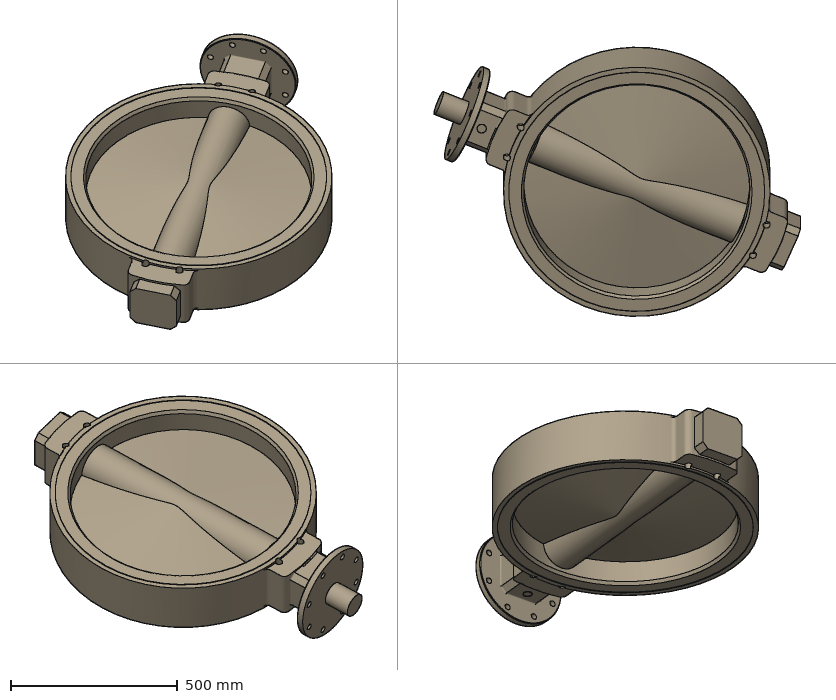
import cadquery as cq
import math


ring_radius = 400.0
ring_half_height = 85.0

lug_half_width = 95.0
lug_half_height = 78.0
lug_end_radius = 464.0
lug_corner_radius = 20.0
lug_root_radius = 15.0

lug_hole_radius = 10.0
lug_hole_x = 53.0
lug_hole_y = 401.0
lug_hole_depth = 46.0
drill_tip_angle = 118.0

neck_half_width = 72.0
neck_half_height = 71.0
neck_corner = 18.0
neck_fillet = 3.0

flange_diameter = 300.0
flange_radius = flange_diameter / 2
flange_top_y = 563.0
flange_thickness = 22.0
flange_bottom_y = flange_top_y - flange_thickness
flange_edge_chamfer = 2.0
flange_bolt_circle_radius = 126.0
flange_hole_radius = 9.0
flange_hole_count = 8

pad_radius = 14.0
pad_y = 505.0
pad_projection = 2.0

seat_outer_radius = 383.0
seat_bore_radius = 339.0
seat_half_height = 83.0
seat_lead_in_width = 7.0
seat_lead_in_depth = 10.0

disc_radius = seat_bore_radius
disc_edge_half_thickness = 3.0
disc_apex_height = 61.0
hub_diameter = 130.0
hub_radius = hub_diameter / 2
hub_half_length = 332.0

overall_length = 1148.0
shaft_radius = 37.0
shaft_top_y = 645.0
shaft_bottom_y = -459.0
cover_bottom_y = shaft_top_y - overall_length


def cylinder_along_y(radius, y_start, y_end):
    return cq.Workplane("XZ", origin=(0, y_start, 0)).circle(radius).extrude(y_start - y_end)


def cylinder_along_z(radius, half_height):
    return cq.Workplane("XY").circle(radius).extrude(half_height, both=True)


def revolve_about_z(profile):
    return cq.Workplane("XZ").polyline(profile).close().revolve(360, (0, 0), (0, 1))


def shaft_cylinder():
    return cylinder_along_y(shaft_radius, shaft_bottom_y, shaft_top_y)


def lug_end_cylinder():
    return cylinder_along_z(lug_end_radius, lug_half_height)


def neck_bar(y_start, y_end):
    """Near-square bar along Y with its four long edges cut off."""
    bar = cq.Workplane("XZ", origin=(0, y_start, 0)).rect(2 * neck_half_width, 2 * neck_half_height)
    bar = bar.extrude(y_start - y_end)
    return bar.edges("|Y").chamfer(neck_corner)


def ring_with_lugs():
    lugs = cq.Workplane("XY").rect(2 * lug_half_width, 3 * lug_end_radius)
    lugs = lugs.extrude(lug_half_height, both=True)
    lugs = lugs.intersect(lug_end_cylinder()).edges("|Z").fillet(lug_corner_radius)
    body = lugs.union(cylinder_along_z(ring_radius, ring_half_height))
    root_y = math.sqrt(ring_radius**2 - lug_half_width**2)
    for x in (-lug_half_width, lug_half_width):
        for y in (-root_y, root_y):
            root_edge = cq.selectors.NearestToPointSelector((x, y, 0))
            body = body.edges(root_edge).fillet(lug_root_radius)
    return body


def flange():
    plate = cylinder_along_y(flange_radius, flange_bottom_y, flange_top_y)
    plate = plate.faces("<Y").edges().chamfer(flange_edge_chamfer)
    first_hole_angle = 180 / flange_hole_count
    holes = (
        cq.Workplane("XZ", origin=(0, flange_bottom_y, 0))
        .polarArray(flange_bolt_circle_radius, first_hole_angle, 360, flange_hole_count)
        .circle(flange_hole_radius)
        .extrude(-flange_thickness)
    )
    return plate.cut(holes)


def neck_pad():
    pad = cq.Workplane("XY", origin=(0, pad_y, -neck_half_height)).circle(pad_radius)
    return pad.extrude(-pad_projection)


def lug_hole():
    """One drilled hole with a conical tip, entering from the top face."""
    tip_depth = lug_hole_radius / math.tan(math.radians(drill_tip_angle / 2))
    bottom_z = ring_half_height - lug_hole_depth
    profile = [
        (0, ring_half_height),
        (lug_hole_radius, ring_half_height),
        (lug_hole_radius, bottom_z),
        (0, bottom_z - tip_depth),
    ]
    return revolve_about_z(profile)


def neck_joint_edges(body):
    """Edges around the neck, where it meets the lug and the flange."""
    margin = 1.0
    reach = neck_half_width + margin
    lowest_y = math.sqrt(lug_end_radius**2 - neck_half_width**2) - margin
    near_neck = cq.selectors.BoxSelector(
        (-reach, lowest_y, -reach), (reach, flange_bottom_y + margin, reach), boundingbox=True
    )
    return body.edges(near_neck).edges("not |Y")


def make_housing():
    body = ring_with_lugs().union(neck_bar(ring_radius, flange_bottom_y)).union(flange())
    body = neck_joint_edges(body).fillet(neck_fillet)
    body = body.union(neck_pad())
    body = body.cut(cylinder_along_z(seat_outer_radius, ring_half_height))
    body = body.cut(shaft_cylinder())
    for x in (-lug_hole_x, lug_hole_x):
        for y in (-lug_hole_y, lug_hole_y):
            top_hole = lug_hole().translate((x, y, 0))
            body = body.cut(top_hole).cut(top_hole.mirror("XY"))
    return body


def make_seat():
    lead_in_radius = seat_bore_radius + seat_lead_in_width
    bore_half_height = seat_half_height - seat_lead_in_depth
    profile = [
        (seat_outer_radius, -seat_half_height),
        (seat_outer_radius, seat_half_height),
        (lead_in_radius, seat_half_height),
        (seat_bore_radius, bore_half_height),
        (seat_bore_radius, -bore_half_height),
        (lead_in_radius, -seat_half_height),
    ]
    return revolve_about_z(profile).cut(shaft_cylinder())


def make_disc():
    profile = [
        (0, -disc_apex_height),
        (disc_radius, -disc_edge_half_thickness),
        (disc_radius, disc_edge_half_thickness),
        (0, disc_apex_height),
    ]
    hub = cylinder_along_y(hub_radius, -hub_half_length, hub_half_length)
    hub_end_limits = cq.Workplane("XY").box(2 * disc_radius, 2 * hub_half_length, 2 * hub_radius)
    disc = revolve_about_z(profile).intersect(hub_end_limits).union(hub)
    return disc.cut(shaft_cylinder())


def make_shaft():
    return shaft_cylinder()


def make_cover():
    """Bar on the lower lug, closing the shaft bore and following the rounded lug end."""
    return neck_bar(cover_bottom_y, -ring_radius).cut(lug_end_cylinder())


housing = make_housing()
seat = make_seat()
disc = make_disc()
shaft = make_shaft()
cover = make_cover()

bodies = [housing, seat, disc, shaft, cover]
result = cq.Compound.makeCompound([body.solids().val() for body in bodies])